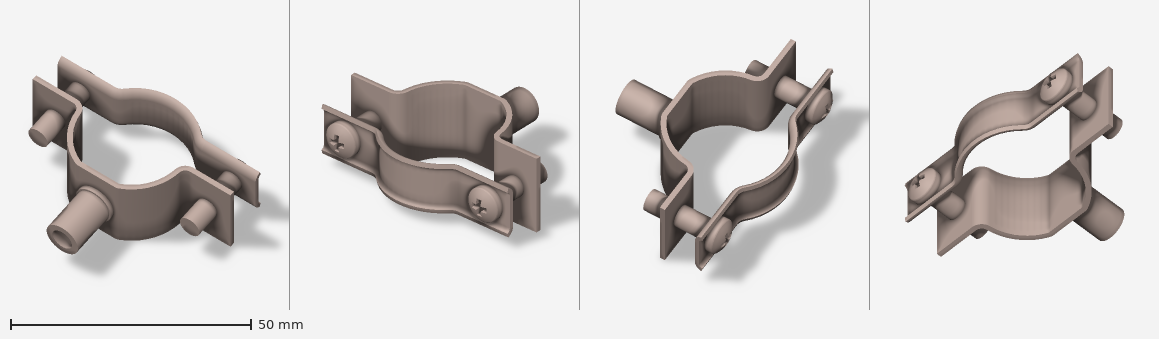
import cadquery as cq
import math


lower_half_length = 25.45
lower_height = 18.0
lower_thickness = 1.2
ring_inner_radius = 12.25
ear_bend_inner_radius = 1.7
seat_bend_inner_radius = 1.3
seat_inner_y = -11.2

upper_left_length = lower_half_length
upper_right_length = 25.55
upper_height = 12.0
upper_thickness = 1.0
curl_inner_radius = 1.0
curl_angle = 75
upper_front_y = 8.7
crown_centre_y = lower_thickness
crown_inner_radius = 12.45
crown_bend_radius = 4.1

screw_spacing = 39.0
shank_diameter = 5.0
shank_length = 16.0
head_diameter = 8.0
head_height = 3.25
head_rim_height = 1.7
head_rim_fillet = 0.4
recess_width = 1.3
recess_length = 4.0
recess_depth = 1.55

boss_flange_diameter = 9.0
boss_flange_length = 1.05
boss_diameter = 8.05
boss_bore_diameter = 5.0
boss_end_y = -24.5

ring_outer_radius = ring_inner_radius + lower_thickness
ear_bend_outer_radius = ear_bend_inner_radius + lower_thickness
seat_bend_outer_radius = seat_bend_inner_radius + lower_thickness
seat_outer_y = seat_inner_y - lower_thickness
curl_outer_radius = curl_inner_radius + upper_thickness
upper_back_y = upper_front_y + upper_thickness
screw_places = (-screw_spacing / 2, screw_spacing / 2)
boss_length = seat_outer_y - boss_end_y


def polar(centre, radius, angle):
    """Point at a radius and an angle (degrees) from a centre."""
    turn = math.radians(angle)
    return (centre[0] + radius * math.cos(turn), centre[1] + radius * math.sin(turn))


def mirrored(point):
    """Point reflected to the other side of X = 0."""
    return (-point[0], point[1])


def along_y(start_y, diameter, length, x=0):
    """Cylinder of a diameter that runs from start_y towards -Y."""
    return cq.Workplane("XZ", origin=(x, start_y, 0)).circle(diameter / 2).extrude(length)


def make_lower_strap():
    """Bent sheet strap with its profile in XY."""
    ring_centre = (0, 0)
    ear_bend_y = -ear_bend_inner_radius
    ear_bend_reach = ring_outer_radius + ear_bend_inner_radius
    ear_bend = (math.sqrt(ear_bend_reach**2 - ear_bend_y**2), ear_bend_y)
    ear_angle = math.degrees(math.atan2(ear_bend[1], ear_bend[0]))

    seat_bend_y = seat_inner_y + seat_bend_inner_radius
    seat_bend_reach = ring_inner_radius - seat_bend_inner_radius
    seat_bend = (math.sqrt(seat_bend_reach**2 - seat_bend_y**2), seat_bend_y)
    seat_angle = math.degrees(math.atan2(seat_bend[1], seat_bend[0]))

    arm_angle = (ear_angle + seat_angle) / 2
    ear_bend_end_angle = 180 + ear_angle
    ear_bend_mid_angle = (90 + ear_bend_end_angle) / 2
    seat_bend_mid_angle = (seat_angle - 90) / 2

    def half_edge(ear_y, ear_radius, ring_radius, seat_radius, seat_y):
        """Points along one face of the right half, from the ear tip to the seat."""
        return [
            (lower_half_length, ear_y),
            (ear_bend[0], ear_y),
            polar(ear_bend, ear_radius, ear_bend_mid_angle),
            polar(ear_bend, ear_radius, ear_bend_end_angle),
            polar(ring_centre, ring_radius, arm_angle),
            polar(ring_centre, ring_radius, seat_angle),
            polar(seat_bend, seat_radius, seat_bend_mid_angle),
            (seat_bend[0], seat_y),
        ]

    def trace(outline, points):
        """Draw a half edge from ear tip to seat, then its mirror image from seat to ear tip."""
        tip, ear_end, ear_mid, arm_start, arm_mid, arm_end, seat_mid, seat_end = points
        outline = outline.lineTo(*ear_end)
        outline = outline.threePointArc(ear_mid, arm_start)
        outline = outline.threePointArc(arm_mid, arm_end)
        outline = outline.threePointArc(seat_mid, seat_end)
        outline = outline.lineTo(*mirrored(seat_end))
        outline = outline.threePointArc(mirrored(seat_mid), mirrored(arm_end))
        outline = outline.threePointArc(mirrored(arm_mid), mirrored(arm_start))
        outline = outline.threePointArc(mirrored(ear_mid), mirrored(ear_end))
        return outline.lineTo(*mirrored(tip))

    inner = half_edge(lower_thickness, ear_bend_outer_radius, ring_inner_radius,
                      seat_bend_inner_radius, seat_inner_y)
    outer = half_edge(0, ear_bend_inner_radius, ring_outer_radius,
                      seat_bend_outer_radius, seat_outer_y)
    outer_from_left = [mirrored(point) for point in outer]

    outline = cq.Workplane("XY").moveTo(*inner[0])
    outline = trace(outline, inner)
    outline = outline.lineTo(*outer_from_left[0])
    outline = trace(outline, outer_from_left)
    strap = outline.close().extrude(lower_height / 2, both=True)
    return cut_screw_holes(strap, lower_thickness, lower_thickness)


def make_upper_strap():
    """Channel section swept along the front face of the strap."""
    bend_y = upper_front_y + crown_bend_radius
    bend_reach = crown_inner_radius + crown_bend_radius
    bend_rise = bend_y - crown_centre_y
    bend = (math.sqrt(bend_reach**2 - bend_rise**2), bend_y)
    crown_angle = math.degrees(math.atan2(bend_rise, bend[0]))
    bend_start = (bend[0], upper_front_y)
    bend_mid = polar(bend, crown_bend_radius, (crown_angle + 180 + 270) / 2)
    bend_end = polar(bend, crown_bend_radius, crown_angle + 180)
    crown_top = (0, crown_centre_y + crown_inner_radius)

    path = (
        cq.Workplane("XY")
        .moveTo(-upper_left_length, upper_front_y)
        .lineTo(*mirrored(bend_start))
        .threePointArc(mirrored(bend_mid), mirrored(bend_end))
        .threePointArc(crown_top, bend_end)
        .threePointArc(bend_mid, bend_start)
        .lineTo(upper_right_length, upper_front_y)
    )

    web_half_height = upper_height / 2 - curl_outer_radius * math.sin(math.radians(curl_angle))
    curl_centre = (upper_front_y + curl_outer_radius, web_half_height)

    def curl_point(radius, angle):
        """Section point on the upper curl, at an angle turned from the web."""
        return polar(curl_centre, radius, 180 - angle)

    def lowered(point):
        """Section point reflected to the other side of Z = 0."""
        return (point[0], -point[1])

    outer_mid = curl_point(curl_outer_radius, curl_angle / 2)
    outer_tip = curl_point(curl_outer_radius, curl_angle)
    inner_tip = curl_point(curl_inner_radius, curl_angle)
    inner_mid = curl_point(curl_inner_radius, curl_angle / 2)
    section = (
        cq.Workplane("YZ", origin=(-upper_left_length, 0, 0))
        .moveTo(upper_front_y, -web_half_height)
        .lineTo(upper_front_y, web_half_height)
        .threePointArc(outer_mid, outer_tip)
        .lineTo(*inner_tip)
        .threePointArc(inner_mid, (upper_back_y, web_half_height))
        .lineTo(upper_back_y, -web_half_height)
        .threePointArc(lowered(inner_mid), lowered(inner_tip))
        .lineTo(*lowered(outer_tip))
        .threePointArc(lowered(outer_mid), (upper_front_y, -web_half_height))
        .close()
    )
    return cut_screw_holes(section.sweep(path), upper_back_y, upper_thickness)


def cut_screw_holes(strap, back_y, thickness):
    """Cut the two holes that the screw shanks fill, from the back face of an ear forwards."""
    for x in screw_places:
        strap = strap.cut(along_y(back_y, shank_diameter, thickness, x))
    return strap


def make_screw(x):
    """Domed screw with a cross recess; its head sits on the back of the upper strap."""
    head_radius = head_diameter / 2
    dome_height = head_height - head_rim_height
    dome_radius = (head_radius**2 + dome_height**2) / (2 * dome_height)
    dome_centre = (0, head_height - dome_radius)
    rim_angle = math.degrees(math.atan2(head_rim_height - dome_centre[1], head_radius))
    dome_mid = polar(dome_centre, dome_radius, (rim_angle + 90) / 2)
    head = (
        cq.Workplane("XY")
        .lineTo(head_radius, 0)
        .lineTo(head_radius, head_rim_height)
        .threePointArc(dome_mid, (0, head_height))
        .close()
        .revolve(360, (0, 0), (0, 1))
        .edges(cq.selectors.NearestToPointSelector((0, head_rim_height, 0)))
        .fillet(head_rim_fillet)
    )
    for width, height in ((recess_width, recess_length), (recess_length, recess_width)):
        arm = cq.Workplane("XZ", origin=(0, head_height, 0)).rect(width, height).extrude(recess_depth)
        head = head.cut(arm)
    screw = head.union(along_y(0, shank_diameter, shank_length))
    return screw.translate((x, upper_back_y, 0))


def make_boss():
    """Flanged tube on the front of the seat."""
    flange = along_y(seat_outer_y, boss_flange_diameter, boss_flange_length)
    tube = along_y(seat_outer_y, boss_diameter, boss_length)
    bore = along_y(seat_outer_y, boss_bore_diameter, boss_length)
    return flange.union(tube).cut(bore)


lower_strap = make_lower_strap()
upper_strap = make_upper_strap()
screws = [make_screw(x) for x in screw_places]
boss = make_boss()

result = cq.Compound.makeCompound(
    [lower_strap.val(), upper_strap.val(), *[screw.val() for screw in screws], boss.val()]
)